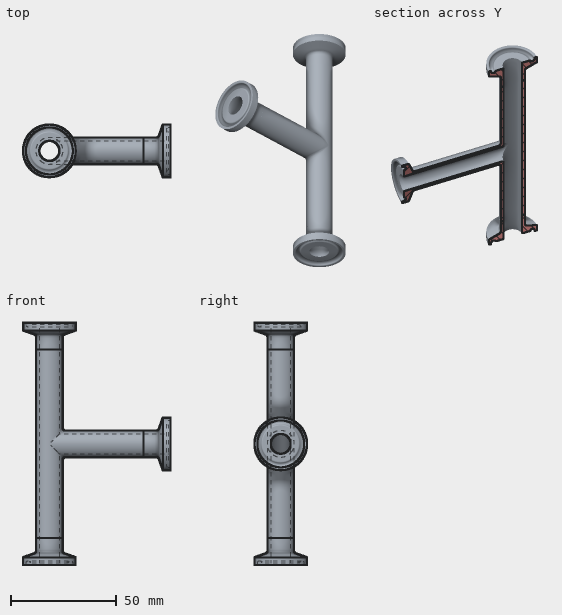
import cadquery as cq

END_FACE_REACH = 57.2
TUBE_DIAMETER = 12.7
BORE_DIAMETER = 9.4
TUBE_RADIUS = TUBE_DIAMETER / 2
BORE_RADIUS = BORE_DIAMETER / 2
JUNCTION_FILLET = 1.1

FLANGE_DIAMETER = 24.9
FLANGE_RADIUS = FLANGE_DIAMETER / 2
FERRULE_LENGTH = 12.7
RIM_THICKNESS = 3.7
CONE_HEIGHT = 2.2
NECK_FILLET = 0.9
LAND_RECESS = 0.9
GROOVE_RADIUS = 10.1
GROOVE_SECTION_RADIUS = 1.0
OUTER_RIM_FILLET = 0.5
INNER_RIM_FILLET = 0.7

TUBE_REACH = END_FACE_REACH - FERRULE_LENGTH


def make_tee():
    """Equal tee: a straight run with one branch, bored through, with a blended outer junction."""
    run = cq.Workplane("XY").circle(TUBE_RADIUS).extrude(TUBE_REACH, both=True)
    branch = cq.Workplane("YZ").circle(TUBE_RADIUS).extrude(TUBE_REACH)
    run_bore = cq.Workplane("XY").circle(BORE_RADIUS).extrude(TUBE_REACH, both=True)
    branch_bore = cq.Workplane("YZ").circle(BORE_RADIUS).extrude(TUBE_REACH)
    body = run.union(branch).edges("%ELLIPSE").fillet(JUNCTION_FILLET)
    return body.cut(run_bore).cut(branch_bore)


def make_ferrule():
    """Clamp ferrule on +Z: its neck meets the run and its grooved face is the end of the fitting."""
    rim_bottom = END_FACE_REACH - RIM_THICKNESS
    cone_bottom = rim_bottom - CONE_HEIGHT
    blank = (
        cq.Workplane("XZ")
        .moveTo(BORE_RADIUS, TUBE_REACH)
        .lineTo(TUBE_RADIUS, TUBE_REACH)
        .lineTo(TUBE_RADIUS, cone_bottom)
        .lineTo(FLANGE_RADIUS, rim_bottom)
        .lineTo(FLANGE_RADIUS, END_FACE_REACH)
        .lineTo(BORE_RADIUS, END_FACE_REACH)
        .close()
        .revolve(360, (0, 0, 0), (0, 1, 0))
    )
    neck_corner = cq.selectors.BoxSelector(
        (-TUBE_RADIUS, -TUBE_RADIUS, cone_bottom - NECK_FILLET),
        (TUBE_RADIUS, TUBE_RADIUS, cone_bottom + NECK_FILLET),
    )
    blank = blank.edges(neck_corner).edges("%CIRCLE").fillet(NECK_FILLET)
    return cut_gasket_groove(blank)


def cut_gasket_groove(blank):
    """Recess the sealing land inside the rim, sink a half-round groove around it and soften both rims."""
    land_level = END_FACE_REACH - LAND_RECESS
    groove_outer_radius = GROOVE_RADIUS + GROOVE_SECTION_RADIUS
    groove_inner_radius = GROOVE_RADIUS - GROOVE_SECTION_RADIUS
    recess_and_groove = (
        cq.Workplane("XZ")
        .moveTo(0, END_FACE_REACH)
        .lineTo(groove_outer_radius, END_FACE_REACH)
        .lineTo(groove_outer_radius, land_level)
        .threePointArc(
            (GROOVE_RADIUS, land_level - GROOVE_SECTION_RADIUS),
            (groove_inner_radius, land_level),
        )
        .lineTo(0, land_level)
        .close()
        .revolve(360, (0, 0, 0), (0, 1, 0))
    )
    grooved = blank.cut(recess_and_groove)

    end_face_inner_edge = cq.selectors.RadiusNthSelector(0)
    land_outer_edge = cq.selectors.RadiusNthSelector(-1)
    grooved = grooved.faces(">Z").edges(end_face_inner_edge).fillet(OUTER_RIM_FILLET)
    land = grooved.faces("+Z").faces(">Z[-2]")
    return land.edges(land_outer_edge).fillet(INNER_RIM_FILLET)


tee = make_tee()
ferrule = make_ferrule()

FERRULE_ANGLES = (0, 90, 180)
ferrules = [ferrule.rotate((0, 0, 0), (0, 1, 0), angle) for angle in FERRULE_ANGLES]

result = cq.Compound.makeCompound([tee.val(), *[copy.val() for copy in ferrules]])